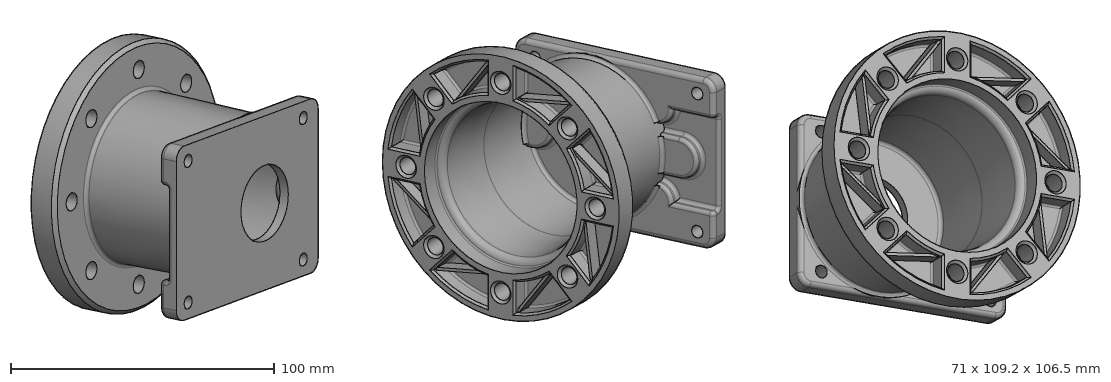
import cadquery as cq
import math

TOTAL_LENGTH = 71.0

FLANGE_RADIUS = 106.5 / 2
FLANGE_THICKNESS = 11.25
FLANGE_CHAMFER = 1.6
SPOKE_COUNT = 8
SPOKE_ANGLE = 360.0 / SPOKE_COUNT
BOLT_CIRCLE_RADIUS = 42.5
BOLT_HOLE_DIAMETER = 7.0
BOLT_HOLE_CHAMFER = 1.1

POCKET_INNER_RADIUS = 36.7
POCKET_OUTER_RADIUS = 51.0
SPOKE_HALF_WIDTH = 5.5
POCKET_DEPTH = 7.5
POCKET_CHAMFER = 0.9
POCKET_DRAFT = 2.0
POCKET_FLOOR_FILLET = 0.9
RIB_WIDTH = 1.2
RIB_TOP_DEPTH = 2.0
RIB_DRAFT = 2.5

BARREL_FLANGE_RADIUS = 33.6
BARREL_PLATE_RADIUS = 32.6
BARREL_FILLET = 1.5

PLATE_THICKNESS = 8.0
PLATE_FACE = TOTAL_LENGTH - PLATE_THICKNESS
PLATE_HALF_HEIGHT = 34.5
PLATE_MIN_Y = -56.0
PLATE_MAX_Y = 34.0
PLATE_CORNER_RADIUS = 5.0
PLATE_EDGE_FILLET = 2.0
PLATE_HOLE_DIAMETER = 5.0
PLATE_HOLE_Z = 28.0
PLATE_HOLE_YS = (-48.5, 24.5)

RECESS_DEPTH = 4.0
RECESS_FLOOR = PLATE_FACE + RECESS_DEPTH
RECESS_HALF_HEIGHT = 19.0
RECESS_LOBE_RADIUS = 7.0
RECESS_LOBE_Y = -30.0
RECESS_INNER_Y = -25.0
RECESS_FILLET = 1.5
BOSS_CENTRE_Y = -40.1
BOSS_RADIUS = 8.2

MOUTH_RADIUS = 34.3
MOUTH_DEPTH = 8.0
MOUTH_FILLET = 0.6
SHOULDER_FILLET = 3.0
BORE_SHOULDER_RADIUS = 31.0
BORE_MID_X = 35.7
BORE_MID_RADIUS = 30.2
BORE_FLOOR_RADIUS = 29.7
BORE_FLOOR_X = RECESS_FLOOR
BORE_FLOOR_FILLET = 1.5
THROUGH_HOLE_DIAMETER = 30.0

PAD_CENTRE_Y = 26.0
PAD_RADIUS = 9.1
PAD_HEIGHT = 4.0
PAD_FILLET = 1.5

DIAGONAL = math.sqrt(0.5)
CLEARANCE = 1.0
SELECTION_TOLERANCE = 0.1


def yz_plane(x):
    """Workplane parallel to YZ at the given x, extruding towards +X."""
    return cq.Workplane("YZ", origin=(x, 0, 0))


def revolve_about_x(profile):
    return profile.close().revolve(360, (0, 0, 0), (1, 0, 0))


def barrel_radius(x):
    slope = (BARREL_PLATE_RADIUS - BARREL_FLANGE_RADIUS) / (PLATE_FACE - FLANGE_THICKNESS)
    return BARREL_FLANGE_RADIUS + slope * (x - FLANGE_THICKNESS)


def make_flange_and_barrel():
    fillet_end = FLANGE_THICKNESS + BARREL_FILLET
    fillet_radius = barrel_radius(fillet_end)
    fillet_middle = BARREL_FILLET * (1 - DIAGONAL)
    profile = (
        cq.Workplane("XY")
        .lineTo(0, FLANGE_RADIUS)
        .lineTo(FLANGE_THICKNESS - FLANGE_CHAMFER, FLANGE_RADIUS)
        .lineTo(FLANGE_THICKNESS, FLANGE_RADIUS - FLANGE_CHAMFER)
        .lineTo(FLANGE_THICKNESS, fillet_radius + BARREL_FILLET)
        .threePointArc(
            (FLANGE_THICKNESS + fillet_middle, fillet_radius + fillet_middle),
            (fillet_end, fillet_radius),
        )
        .lineTo(RECESS_FLOOR, barrel_radius(RECESS_FLOOR))
        .lineTo(RECESS_FLOOR, 0)
    )
    return revolve_about_x(profile)


def make_plate_blank(x, thickness):
    return (
        yz_plane(x)
        .center((PLATE_MIN_Y + PLATE_MAX_Y) / 2, 0)
        .rect(PLATE_MAX_Y - PLATE_MIN_Y, 2 * PLATE_HALF_HEIGHT)
        .extrude(thickness)
        .edges("|X")
        .fillet(PLATE_CORNER_RADIUS)
    )


def make_recess(x, depth, margin=0.0):
    """Open-ended recess with a lobe bulging into each inner corner; margin shrinks the lobes."""
    lobe_radius = RECESS_LOBE_RADIUS - margin
    lobe_middle = lobe_radius * DIAGONAL
    lobe_y = RECESS_LOBE_Y - lobe_radius
    neck_z = RECESS_HALF_HEIGHT - lobe_radius
    lobe_z = RECESS_HALF_HEIGHT - lobe_middle
    outer_y = PLATE_MIN_Y - CLEARANCE
    outline = (
        yz_plane(x)
        .moveTo(outer_y, -RECESS_HALF_HEIGHT)
        .lineTo(lobe_y, -RECESS_HALF_HEIGHT)
        .threePointArc((RECESS_LOBE_Y - lobe_middle, -lobe_z), (RECESS_LOBE_Y, -neck_z))
        .lineTo(RECESS_INNER_Y, -neck_z)
        .lineTo(RECESS_INNER_Y, neck_z)
        .lineTo(RECESS_LOBE_Y, neck_z)
        .threePointArc((RECESS_LOBE_Y - lobe_middle, lobe_z), (lobe_y, RECESS_HALF_HEIGHT))
        .lineTo(outer_y, RECESS_HALF_HEIGHT)
        .close()
    )
    return outline.extrude(depth)


def make_half_round(x, height, centre_y, radius, root_y):
    """Straight-sided block from root_y ending in a half circle about centre_y."""
    disc = yz_plane(x).center(centre_y, 0).circle(radius).extrude(height)
    block = (
        yz_plane(x)
        .center((centre_y + root_y) / 2, 0)
        .rect(abs(centre_y - root_y), 2 * radius)
        .extrude(height)
    )
    return disc.union(block)


def make_boss(x, height, radius=BOSS_RADIUS):
    return make_half_round(x, height, BOSS_CENTRE_Y, radius, RECESS_INNER_Y)


def make_plate_slab(x):
    """Rounded plate blank from x to the back face, with its front edge rounded."""
    return make_plate_blank(x, TOTAL_LENGTH - x).faces("<X").edges().fillet(PLATE_EDGE_FILLET)


def edges_at_depth(solid, x, y_range, half_height):
    """Edges lying in the plane at x within the given y range and height."""
    box = cq.selectors.BoxSelector(
        (x - SELECTION_TOLERANCE, min(y_range), -half_height - SELECTION_TOLERANCE),
        (x + SELECTION_TOLERANCE, max(y_range), half_height + SELECTION_TOLERANCE),
    )
    return solid.edges(box)


def make_plate():
    raised = make_plate_slab(PLATE_FACE).cut(make_recess(PLATE_FACE, RECESS_DEPTH))
    plate = raised.union(make_plate_slab(RECESS_FLOOR))
    plate = plate.union(make_boss(PLATE_FACE, RECESS_DEPTH))
    wall_y_range = (PLATE_MIN_Y + CLEARANCE, RECESS_LOBE_Y + CLEARANCE)
    for x in (RECESS_FLOOR, PLATE_FACE):
        plate = edges_at_depth(plate, x, wall_y_range, RECESS_HALF_HEIGHT).fillet(RECESS_FILLET)
    return plate


def make_plate_flare():
    """Fillet ring between barrel and plate, kept to the raised parts of the plate face."""
    ring_start = PLATE_FACE - BARREL_FILLET
    ring_end = PLATE_FACE + PLATE_EDGE_FILLET
    ring_radius = barrel_radius(ring_start)
    middle = BARREL_FILLET * (1 - DIAGONAL)
    profile = (
        cq.Workplane("XY")
        .moveTo(ring_start, 0)
        .lineTo(ring_start, ring_radius)
        .threePointArc(
            (PLATE_FACE - middle, ring_radius + middle), (PLATE_FACE, ring_radius + BARREL_FILLET)
        )
        .lineTo(ring_end, ring_radius + BARREL_FILLET)
        .lineTo(ring_end, 0)
    )
    length = ring_end - ring_start
    edge_margin = RECESS_FILLET / 2
    raised_area = make_plate_blank(ring_start, length)
    raised_area = raised_area.cut(make_recess(ring_start, length, edge_margin))
    raised_area = raised_area.union(make_boss(ring_start, length, BOSS_RADIUS - edge_margin))
    return revolve_about_x(profile).intersect(raised_area)


def make_bore():
    """Stepped bore with a rounded shoulder, a tapered wall and the floor pad left standing."""
    mouth_middle = MOUTH_FILLET * (1 - DIAGONAL)
    shoulder_middle = SHOULDER_FILLET * (1 - DIAGONAL)
    shoulder_end = MOUTH_DEPTH + SHOULDER_FILLET
    floor_middle = BORE_FLOOR_FILLET * (1 - DIAGONAL)
    profile = (
        cq.Workplane("XY")
        .lineTo(0, MOUTH_RADIUS)
        .lineTo(MOUTH_DEPTH - MOUTH_FILLET, MOUTH_RADIUS)
        .threePointArc(
            (MOUTH_DEPTH - mouth_middle, MOUTH_RADIUS - mouth_middle),
            (MOUTH_DEPTH, MOUTH_RADIUS - MOUTH_FILLET),
        )
        .threePointArc(
            (MOUTH_DEPTH + shoulder_middle, BORE_SHOULDER_RADIUS + shoulder_middle),
            (shoulder_end, BORE_SHOULDER_RADIUS),
        )
        .lineTo(BORE_MID_X, BORE_MID_RADIUS)
        .lineTo(BORE_FLOOR_X - BORE_FLOOR_FILLET, BORE_FLOOR_RADIUS)
        .threePointArc(
            (BORE_FLOOR_X - floor_middle, BORE_FLOOR_RADIUS - floor_middle),
            (BORE_FLOOR_X, BORE_FLOOR_RADIUS - BORE_FLOOR_FILLET),
        )
        .lineTo(BORE_FLOOR_X, 0)
    )
    bore = revolve_about_x(profile)
    return bore.cut(make_pad())


def make_pad():
    """Half-round pad rising from the bore floor, with a rounded top edge and a flared foot."""
    pad_top = BORE_FLOOR_X - PAD_HEIGHT
    root_y = BARREL_FLANGE_RADIUS
    pad = make_half_round(pad_top, PAD_HEIGHT, PAD_CENTRE_Y, PAD_RADIUS, root_y)
    base = yz_plane(BORE_FLOOR_X).circle(FLANGE_RADIUS).extrude(CLEARANCE)
    pad = pad.union(base)
    pad_y_range = (PAD_CENTRE_Y - PAD_RADIUS, root_y - PAD_FILLET)
    for x in (BORE_FLOOR_X, pad_top):
        pad = edges_at_depth(pad, x, pad_y_range, PAD_RADIUS).fillet(PAD_FILLET)
    return pad.union(make_pad_wall_fillet(pad_top, root_y))


def make_pad_wall_fillet(pad_top, root_y):
    """Concave fillet between the flat of the pad and the bore wall beside it."""
    fillet_start = pad_top - PAD_FILLET
    crest_radius = BORE_FLOOR_RADIUS - PAD_FILLET
    middle = PAD_FILLET * (1 - DIAGONAL)
    profile = (
        cq.Workplane("XY")
        .moveTo(pad_top, crest_radius)
        .threePointArc((pad_top - middle, BORE_FLOOR_RADIUS - middle), (fillet_start, BORE_FLOOR_RADIUS))
        .lineTo(fillet_start, root_y)
        .lineTo(pad_top, root_y)
    )
    flat_radius = PAD_RADIUS - PAD_FILLET
    flat = make_half_round(fillet_start, PAD_FILLET, PAD_CENTRE_Y, flat_radius, root_y)
    return revolve_about_x(profile).intersect(flat)


def polar_point(radius, angle):
    return (radius * math.cos(angle), radius * math.sin(angle))


def corner_angles(radius, half_width):
    """Angles at which a pocket's two spoke walls cross the given radius."""
    near = math.asin(half_width / radius)
    return near, math.radians(SPOKE_ANGLE) - near


def draw_pocket(x, inset):
    """Outline of the pocket following the +Y spoke counterclockwise, moved inwards by inset."""
    inner = POCKET_INNER_RADIUS + inset
    outer = POCKET_OUTER_RADIUS - inset
    half_width = SPOKE_HALF_WIDTH + inset
    inner_near, inner_far = corner_angles(inner, half_width)
    outer_near, outer_far = corner_angles(outer, half_width)
    middle = math.radians(SPOKE_ANGLE / 2)
    return (
        yz_plane(x)
        .moveTo(*polar_point(inner, inner_near))
        .lineTo(*polar_point(outer, outer_near))
        .threePointArc(polar_point(outer, middle), polar_point(outer, outer_far))
        .lineTo(*polar_point(inner, inner_far))
        .threePointArc(polar_point(inner, middle), polar_point(inner, inner_near))
        .wire()
        .val()
    )


def make_rib():
    """Drafted rib from the inner near corner to the outer far corner of the pocket."""
    start_angle = corner_angles(POCKET_INNER_RADIUS, SPOKE_HALF_WIDTH)[0]
    end_angle = corner_angles(POCKET_OUTER_RADIUS, SPOKE_HALF_WIDTH)[1]
    start = cq.Vector(*polar_point(POCKET_INNER_RADIUS, start_angle))
    end = cq.Vector(*polar_point(POCKET_OUTER_RADIUS, end_angle))
    span = end - start
    centre = (start + end) * 0.5
    return (
        yz_plane(RIB_TOP_DEPTH)
        .center(centre.x, centre.y)
        .transformed(rotate=(0, 0, math.degrees(math.atan2(span.y, span.x))))
        .rect(span.Length, RIB_WIDTH)
        .extrude(POCKET_DEPTH, taper=-RIB_DRAFT)
    )


def make_pocket():
    """Drafted well with a chamfered mouth, a rounded floor and the diagonal rib left standing."""
    mouth = draw_pocket(0, 0)
    rim = draw_pocket(POCKET_CHAMFER, POCKET_CHAMFER)
    draft_inset = (POCKET_DEPTH - POCKET_CHAMFER) * math.tan(math.radians(POCKET_DRAFT))
    floor = draw_pocket(POCKET_DEPTH, POCKET_CHAMFER + draft_inset)
    chamfer = cq.Workplane(cq.Solid.makeLoft([mouth, rim], True))
    well = cq.Workplane(cq.Solid.makeLoft([rim, floor], True))
    well = well.faces(">X").edges().fillet(POCKET_FLOOR_FILLET)
    return well.union(chamfer).cut(make_rib())


def make_bolt_hole():
    """Through hole on the bolt circle at +Y, countersunk at the flange face."""
    radius = BOLT_HOLE_DIAMETER / 2
    hole = yz_plane(0).center(BOLT_CIRCLE_RADIUS, 0).circle(radius).extrude(FLANGE_THICKNESS)
    sink = yz_plane(0).center(BOLT_CIRCLE_RADIUS, 0).circle(radius + BOLT_HOLE_CHAMFER)
    return hole.union(sink.extrude(BOLT_HOLE_CHAMFER, taper=45))


def make_plate_holes():
    places = [(y, z) for y in PLATE_HOLE_YS for z in (-PLATE_HOLE_Z, PLATE_HOLE_Z)]
    return yz_plane(PLATE_FACE).pushPoints(places).circle(PLATE_HOLE_DIAMETER / 2).extrude(PLATE_THICKNESS)


def make_part():
    part = make_plate().union(make_flange_and_barrel()).union(make_plate_flare())
    part = part.cut(make_bore())
    part = part.cut(yz_plane(PLATE_FACE).circle(THROUGH_HOLE_DIAMETER / 2).extrude(PLATE_THICKNESS))
    part = part.cut(make_plate_holes())
    flange_cut = make_pocket().union(make_bolt_hole())
    for index in range(SPOKE_COUNT):
        part = part.cut(flange_cut.rotate((0, 0, 0), (1, 0, 0), index * SPOKE_ANGLE))
    return part.solids()


result = make_part()